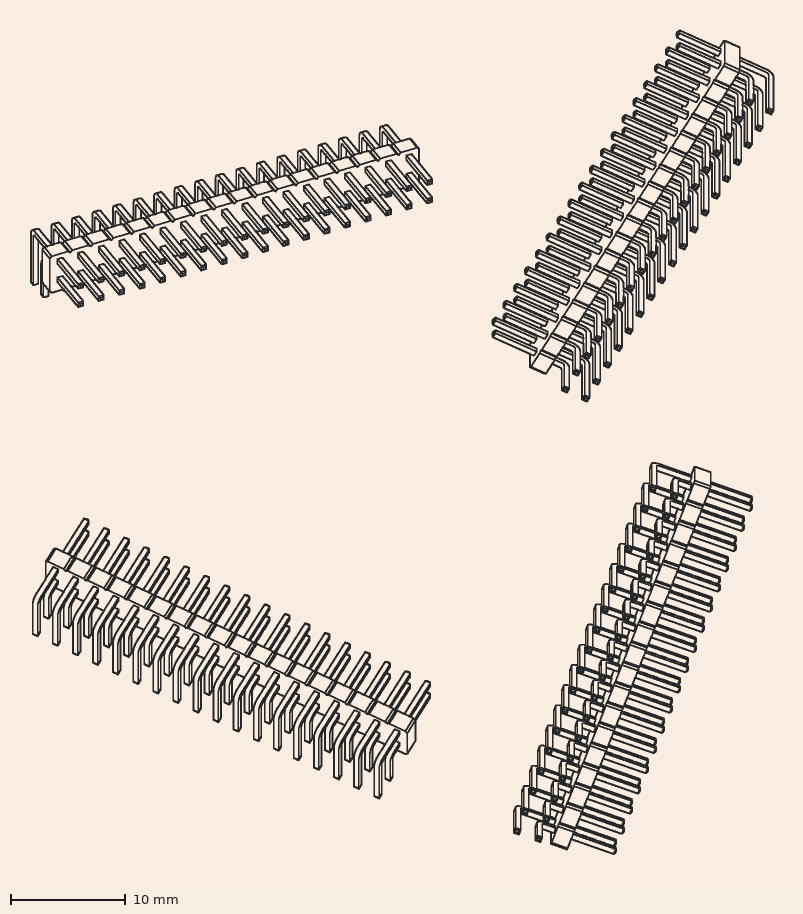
import cadquery as cq


positions = 18
pitch = 2.0
housing_thickness = 1.5
housing_height = 4.0
corner_chamfer = 0.2

pin_width = 0.5
bend_radius = 0.75
tip_chamfer = 0.125
contact_length = 4.2
leg_drop = 2.65
lower_row_height = 1.25
lower_leg_reach = 1.5

pin_rows = [
    (lower_row_height, lower_leg_reach),
    (lower_row_height + pitch, lower_leg_reach + pitch),
]
housing_length = positions * pitch
position_centres = [(i + 0.5) * pitch - housing_length / 2 for i in range(positions)]


def housing_block(y_centre):
    """One pitch of the housing, with the four corners that run along X chamfered."""
    return (
        cq.Workplane("XY")
        .box(housing_thickness, pitch, housing_height, centered=(False, True, False))
        .edges("|X")
        .chamfer(corner_chamfer)
        .translate((0, y_centre, 0))
    )


def bent_pin(axis_height, leg_reach):
    """Square pin centred on Y = 0, bent down through a right angle, with chamfered tips."""
    half_width = pin_width / 2
    outer_x = -leg_reach - half_width
    inner_x = outer_x + pin_width
    top_z = axis_height + half_width
    bottom_z = top_z - pin_width
    contact_tip_x = housing_thickness + contact_length
    leg_tip_z = -leg_drop
    inner_bend_radius = bend_radius - pin_width
    bend_x = outer_x + bend_radius
    bend_z = top_z - bend_radius

    return (
        cq.Workplane("XZ")
        .moveTo(outer_x, leg_tip_z)
        .lineTo(outer_x, bend_z)
        .radiusArc((bend_x, top_z), bend_radius)
        .lineTo(contact_tip_x, top_z)
        .lineTo(contact_tip_x, bottom_z)
        .lineTo(bend_x, bottom_z)
        .radiusArc((inner_x, bend_z), -inner_bend_radius)
        .lineTo(inner_x, leg_tip_z)
        .close()
        .extrude(half_width, both=True)
        .faces(">X or <Z")
        .chamfer(tip_chamfer)
    )


def header():
    """Row of housing blocks joined end to end, with one pin of each row through every block."""
    pins = [bent_pin(axis_height, leg_reach) for axis_height, leg_reach in pin_rows]
    body = housing_block(position_centres[0])
    for y_centre in position_centres[1:]:
        body = body.union(housing_block(y_centre))
    all_pins = cq.Workplane("XY")
    for y_centre in position_centres:
        for pin in pins:
            all_pins = all_pins.add(pin.translate((0, y_centre, 0)))
    return body.union(all_pins)


result = header()